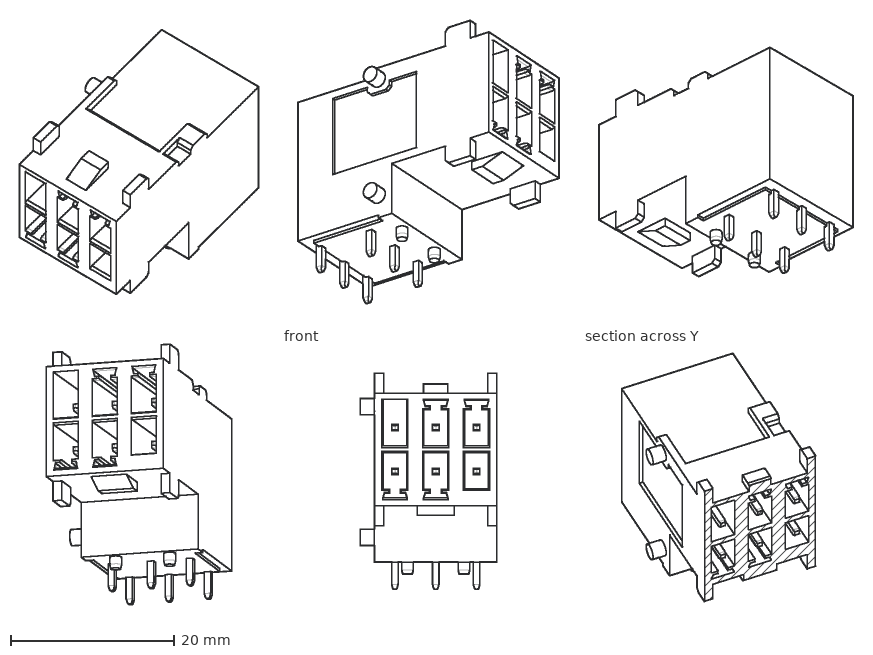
import cadquery as cq

width = 15.02
half_width = width / 2
length = 28.6
rear_top = 19.53
front_top = 20.74
front_bottom = 6.9
front_mid = (front_top + front_bottom) / 2
front_wall = 14.53
step_y = 12.53
edge_chamfer = 0.5

underside = 0.37
foot_rear = 16.55
plate_rear = 26.9
plate_inset = 1.0

rail_rear = 18.22
left_rail_width = 1.03
right_rail_width = 2.7
rail_pocket_width = 2.05
rail_pocket_rear = 14.93

tab_width = 1.15
tab_height = 2.43
tab_front = 2.8
tab_rear = 6.55
latch_height = 1.12
latch_front = 1.65
latch_crest = 4.63
latch_rear = 6.2
top_latch_width = 3.0
bottom_latch_width = 4.52

label_front = 10.87
label_rear = 23.4
label_bottom = 8.0
label_top = 18.5
label_depth = 0.5
peg_pad_front = 14.9
peg_pad_bottom = 17.4
peg_diameter = 2.03
peg_length = 1.77
peg_y = 16.53
peg_heights = (19.08, 3.03)

column_pitch = 5.0
socket_half_width = 1.6
socket_inner = 0.23
socket_outer = 4.98
neck_outer = 5.23
key_outer = 6.18
neck_half_width = 0.77
key_half_width_near = 1.3
key_half_width_far = 1.52
socket_depth = 12.0
lead_in_depth = 0.43

divider_lead = 0.2
floor_lead = 0.15
lip_lead = 0.11
upper_key_lead = 0.11
lower_key_lead = 0.3

side_draft = 0.15

pin_size = 0.83
pin_tip_size = 0.5
pin_tip_length = 0.65
pin_tip_radius = 0.3
pin_embedment = 0.3
contact_front = 4.0
contact_height = 2.7
solder_pin_bottom = -3.35
solder_pin_rows = (19.42, plate_rear)

post_diameter = 1.45
post_tip_diameter = 1.2
post_shoulder = -0.95
post_bottom = -1.45
post_offset = 3.45
post_y = 15.85


def block(x0, x1, y0, y1, z0, z1):
    """Box given by its limits along X, Y and Z."""
    return cq.Workplane("XY").box(x1 - x0, y1 - y0, z1 - z0, centered=False).translate((x0, y0, z0))


def side_profile(points, x0, x1):
    """Outline of (Y, Z) points extruded from x0 to x1."""
    return cq.Workplane("YZ").polyline(points).close().extrude(x1 - x0).translate((x0, 0, 0))


def mirrored_below(solid):
    """Copy of a solid reflected in the mid plane of the front block."""
    return solid.mirror("XY", (0, 0, front_mid))


def housing():
    chamfer_base = front_top - edge_chamfer
    front_block = side_profile(
        [
            (0, front_bottom),
            (front_wall, front_bottom),
            (front_wall, rear_top),
            (step_y, rear_top),
            (step_y, chamfer_base),
            (step_y - edge_chamfer, front_top),
            (0, front_top),
        ],
        -half_width,
        half_width,
    )
    rear_block = block(-half_width, half_width, front_wall, length, underside, rear_top)
    foot = block(-half_width, half_width, front_wall, foot_rear, 0, underside)
    plate_edge = half_width - plate_inset
    plate = block(-plate_edge, plate_edge, foot_rear, plate_rear, 0, underside)
    return rear_block.union(front_block).union(foot).union(plate)


def rails():
    chamfer_base = front_top - edge_chamfer
    rail_front = step_y - edge_chamfer
    rail_points = [
        (rail_front, rear_top),
        (rail_rear, rear_top),
        (rail_rear, chamfer_base),
        (rail_rear - edge_chamfer, front_top),
        (rail_front, front_top),
    ]
    pocket_points = [
        (step_y, rear_top),
        (rail_pocket_rear, rear_top),
        (rail_pocket_rear, chamfer_base),
        (rail_pocket_rear + edge_chamfer, front_top),
        (step_y - edge_chamfer, front_top),
        (step_y, chamfer_base),
    ]
    left = side_profile(rail_points, -half_width, -half_width + left_rail_width)
    right = side_profile(rail_points, half_width - right_rail_width, half_width)
    pocket = side_profile(pocket_points, half_width - rail_pocket_width, half_width)
    return left.union(right).cut(pocket)


def coding_tabs():
    tab_top = front_top + tab_height
    points = [
        (tab_front, front_mid),
        (tab_rear, front_mid),
        (tab_rear, tab_top - edge_chamfer),
        (tab_rear - edge_chamfer, tab_top),
        (tab_front, tab_top),
    ]
    left = side_profile(points, -half_width, -half_width + tab_width)
    upper = left.union(left.mirror("YZ"))
    return upper.union(mirrored_below(upper))


def latch(latch_width):
    """Wedge on top of the front block that rises from the mating face to a flat crest."""
    crest = front_top + latch_height
    points = [
        (latch_front, front_top),
        (latch_crest, crest),
        (latch_rear, crest),
        (latch_rear, front_top),
    ]
    return side_profile(points, -latch_width / 2, latch_width / 2)


def label_recess():
    recess = block(
        -half_width, -half_width + label_depth, label_front, label_rear, label_bottom, label_top
    )
    pad = side_profile(
        [
            (peg_pad_front, label_top),
            (peg_pad_front, peg_pad_bottom + edge_chamfer),
            (peg_pad_front + edge_chamfer, peg_pad_bottom),
            (rail_rear - edge_chamfer, peg_pad_bottom),
            (rail_rear, peg_pad_bottom + edge_chamfer),
            (rail_rear, label_top),
        ],
        -half_width,
        -half_width + label_depth,
    )
    return recess.cut(pad)


def side_peg(z):
    peg = cq.Workplane("YZ").center(peg_y, z).circle(peg_diameter / 2).extrude(peg_length)
    return peg.translate((-half_width - peg_length, 0, 0))


def plain_outline(outer, outer_lead, closing, draft):
    """Right half of a plain socket outline as (X, height from the mid plane).

    closing is 0 at the mouth and 1 behind the lead-in; draft narrows the outline.
    """
    side = socket_half_width - draft
    return [
        (side, socket_inner + closing * divider_lead),
        (side, outer - closing * outer_lead),
    ]


def keyed_outline(key_lead, closing, draft):
    """Right half of a socket outline that opens through a neck into a flared key slot."""
    lip_growth = closing * lip_lead
    neck = neck_half_width - lip_growth
    return plain_outline(socket_outer, lip_lead, closing, draft) + [
        (neck, socket_outer - lip_growth),
        (neck, neck_outer + lip_growth),
        (key_half_width_near, neck_outer + lip_growth),
        (key_half_width_far, key_outer - closing * key_lead),
    ]


def tall_socket(closing, draft):
    return plain_outline(key_outer, 0, closing, draft)


def short_socket(closing, draft):
    return plain_outline(socket_outer, floor_lead, closing, draft)


def upper_keyed_socket(closing, draft):
    return keyed_outline(upper_key_lead, closing, draft)


def lower_keyed_socket(closing, draft):
    return keyed_outline(lower_key_lead, closing, draft)


def section(column, row, right_half, y):
    """Closed socket outline at depth y; row is 1 for upper, -1 for lower."""
    left_half = [(-x, height) for x, height in reversed(right_half)]
    points = [
        cq.Vector(column * column_pitch + x, y, front_mid + row * height)
        for x, height in right_half + left_half
    ]
    return cq.Wire.makePolygon(points, close=True)


def socket(column, row, outline):
    """Cavity with a lead-in at the mouth and drafted side walls."""
    draft_at_lead_in = side_draft * lead_in_depth / socket_depth
    mouth = section(column, row, outline(0, 0), 0)
    throat = section(column, row, outline(1, draft_at_lead_in), lead_in_depth)
    end = section(column, row, outline(1, side_draft), socket_depth)
    return cq.Workplane(cq.Solid.makeLoft([mouth, throat, end], True))


def pin(pin_length):
    """Square pin pointing up from Z = 0, tapered at the tip and rounded across X."""
    shank = cq.Workplane("XY").rect(pin_size, pin_size).extrude(pin_length - pin_tip_length)
    tip = (
        shank.faces(">Z")
        .workplane()
        .rect(pin_size, pin_size)
        .workplane(offset=pin_tip_length)
        .rect(pin_tip_size, pin_tip_size)
        .loft(combine=False)
        .faces(">Z")
        .edges("|Y")
        .fillet(pin_tip_radius)
    )
    return shank.union(tip)


def contact(column, row):
    root = socket_depth + pin_embedment
    forward = pin(root - contact_front).rotate((0, 0, 0), (1, 0, 0), 90)
    return forward.translate((column * column_pitch, root, front_mid + row * contact_height))


def solder_pin(column, y):
    root = underside + pin_embedment
    downward = pin(root - solder_pin_bottom).rotate((0, 0, 0), (1, 0, 0), 180)
    return downward.translate((column * column_pitch, y, root))


def locating_post(x):
    shank = cq.Workplane("XY").circle(post_diameter / 2).extrude(post_shoulder)
    tip = (
        cq.Workplane("XY", origin=(0, 0, post_shoulder))
        .circle(post_diameter / 2)
        .workplane(offset=post_bottom - post_shoulder)
        .circle(post_tip_diameter / 2)
        .loft()
    )
    return shank.union(tip).translate((x, post_y, 0))


sockets = [
    (-1, 1, tall_socket),
    (0, 1, upper_keyed_socket),
    (1, 1, upper_keyed_socket),
    (-1, -1, lower_keyed_socket),
    (0, -1, lower_keyed_socket),
    (1, -1, short_socket),
]

result = housing().union(rails()).union(coding_tabs())
result = result.union(latch(top_latch_width)).union(mirrored_below(latch(bottom_latch_width)))
result = result.cut(label_recess())

for peg_z in peg_heights:
    result = result.union(side_peg(peg_z))

for column, row, outline in sockets:
    result = result.cut(socket(column, row, outline))
    result = result.union(contact(column, row))

for column in (-1, 0, 1):
    for pin_y in solder_pin_rows:
        result = result.union(solder_pin(column, pin_y))

for post_x in (-post_offset, post_offset):
    result = result.union(locating_post(post_x))